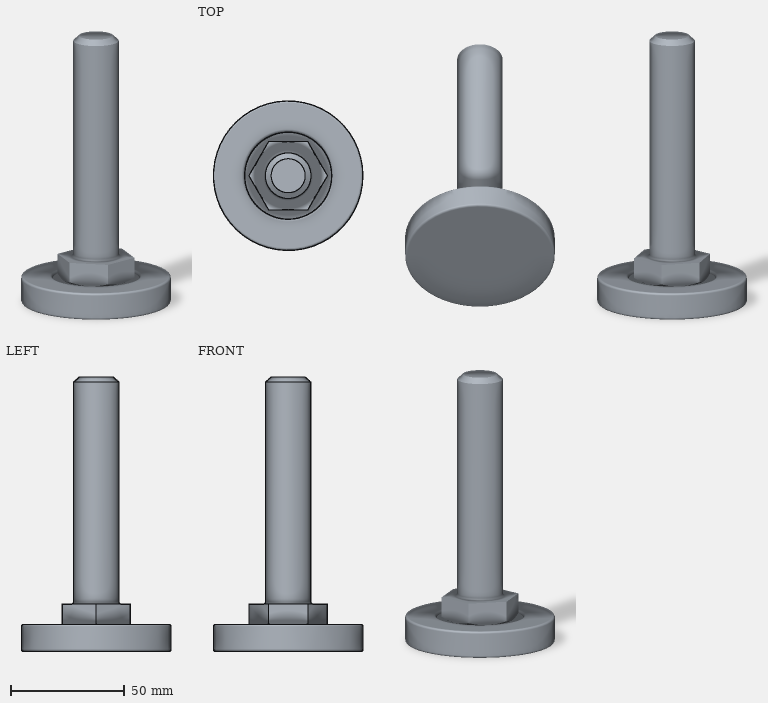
import cadquery as cq
import math

total_height = 121.0

plate_radius = 32.97
plate_height = 12.0
plate_edge_fillet = 1.0
recess_radius = 19.2
recess_rim_fillet = 1.1
recess_floor = 6.0

insert_top = 10.8
insert_clearance = 0.1
insert_radius = recess_radius - insert_clearance

stud_radius = 10.0
stud_tip_radius = 7.5
stud_tip_height = 2.3
stud_root_fillet = 1.0
hex_flats = 30.0
hex_top = 20.9
hex_chamfer_angle = 30.0
hex_height = hex_top - insert_top
hex_corner_radius = hex_flats / math.sqrt(3)


def make_plate():
    """Round foot plate with rounded edges and a blind recess in its top."""
    plate = cq.Workplane("XY").circle(plate_radius).extrude(plate_height)
    plate = plate.faces("<Z or >Z").edges().fillet(plate_edge_fillet)
    recess = (
        cq.Workplane("XY")
        .workplane(offset=recess_floor)
        .circle(recess_radius)
        .extrude(plate_height - recess_floor)
    )
    plate = plate.cut(recess)
    recess_rim = cq.selectors.RadiusNthSelector(0)
    return plate.faces(">Z").edges(recess_rim).fillet(recess_rim_fillet)


def make_insert():
    """Plain disc that rests on the recess floor and carries the stud."""
    return (
        cq.Workplane("XY")
        .workplane(offset=recess_floor)
        .circle(insert_radius)
        .extrude(insert_top - recess_floor)
    )


def make_hex_collar():
    """Hexagon whose lower corners are cut back by a cone."""
    collar = (
        cq.Workplane("XY")
        .workplane(offset=insert_top)
        .polygon(6, 2 * hex_corner_radius)
        .extrude(hex_height)
    )
    cone_start_radius = hex_flats / 2
    cone_rise = (hex_corner_radius - cone_start_radius) * math.tan(math.radians(hex_chamfer_angle))
    envelope = (
        cq.Workplane("XZ")
        .moveTo(0, insert_top)
        .lineTo(cone_start_radius, insert_top)
        .lineTo(hex_corner_radius, insert_top + cone_rise)
        .lineTo(hex_corner_radius, hex_top)
        .lineTo(0, hex_top)
        .close()
        .revolve(360, (0, 0, 0), (0, 1, 0))
    )
    return collar.intersect(envelope)


def make_stud():
    """Round shank with a conical tip and a filleted root on the hex collar."""
    shank = (
        cq.Workplane("XZ")
        .moveTo(0, insert_top)
        .lineTo(stud_radius, insert_top)
        .lineTo(stud_radius, total_height - stud_tip_height)
        .lineTo(stud_tip_radius, total_height)
        .lineTo(0, total_height)
        .close()
        .revolve(360, (0, 0, 0), (0, 1, 0))
    )
    stud = make_hex_collar().union(shank)
    root_box = cq.selectors.BoxSelector(
        (-hex_corner_radius, -hex_corner_radius, hex_top - stud_root_fillet),
        (hex_corner_radius, hex_corner_radius, hex_top + stud_root_fillet),
    )
    return stud.edges("%CIRCLE").edges(root_box).fillet(stud_root_fillet)


plate = make_plate()
insert = make_insert()
stud = make_stud()

result = cq.Compound.makeCompound([plate.val(), insert.val(), stud.val()])